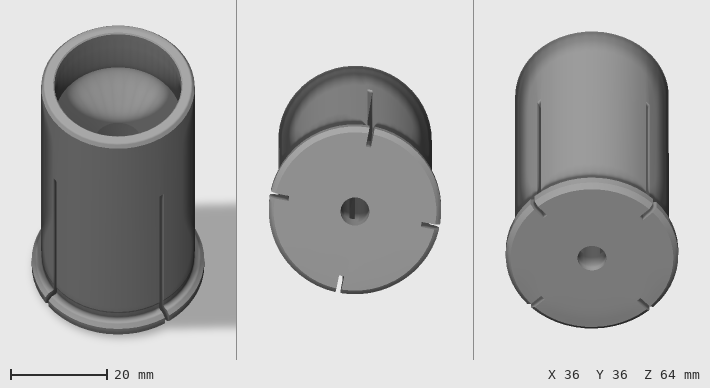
import cadquery as cq
import math

length = 64.0
body_radius = 32.0 / 2
flange_radius = 36.0 / 2
top_chamfer_width = 0.65
top_chamfer_height = 0.9

chamfer_rounding = 0.5

flange_height = 3.85
flange_bottom_chamfer = 1.0
flange_top_chamfer_width = 0.9
flange_top_chamfer_height = 0.9
neck_radius = body_radius - 0.1
neck_fillet = 0.45
neck_taper_start = 5.6
neck_top = 6.2

bore_radius = 6.0 / 2
countersink_radius = 10.0 / 2
cup_radius = 26.5 / 2
cup_lip_chamfer = 0.25
cup_depth = 11.8
cup_floor_angle = 45.0
countersink_wall_angle = 60.0
cup_edge_z = length - cup_depth
cup_floor_drop = (cup_radius - countersink_radius) * math.tan(math.radians(cup_floor_angle))
countersink_drop = (countersink_radius - bore_radius) * math.tan(math.radians(countersink_wall_angle))
countersink_top_z = cup_edge_z - cup_floor_drop
countersink_bottom_z = countersink_top_z - countersink_drop

slot_count = 4
slot_width = 1.1
slot_top_z = 43.1
sealed_height = 5.6
sealed_radius = 14.1
slot_reach = flange_radius + 0.65


def make_sleeve():
    """Revolve the half section of the flange, body, cup and bore."""
    profile = (
        cq.Workplane("XZ")
        .moveTo(bore_radius, 0)
        .lineTo(flange_radius - flange_bottom_chamfer, 0)
        .lineTo(flange_radius, flange_bottom_chamfer)
        .lineTo(flange_radius, flange_height - flange_top_chamfer_height)
        .lineTo(flange_radius - flange_top_chamfer_width, flange_height)
        .lineTo(neck_radius + neck_fillet, flange_height)
        .radiusArc((neck_radius, flange_height + neck_fillet), neck_fillet)
        .lineTo(neck_radius, neck_taper_start)
        .lineTo(body_radius, neck_top)
        .lineTo(body_radius, length - top_chamfer_height)
        .lineTo(body_radius - top_chamfer_width, length)
        .lineTo(cup_radius + cup_lip_chamfer, length)
        .lineTo(cup_radius, length - cup_lip_chamfer)
        .lineTo(cup_radius, cup_edge_z)
        .lineTo(countersink_radius, countersink_top_z)
        .lineTo(bore_radius, countersink_bottom_z)
        .close()
    )
    return profile.revolve(360, (0, 0, 0), (0, 1, 0))


def round_circle(body, radius, height):
    """Round the circular edge of the given radius at the given height."""
    tolerance = 0.005

    def is_wanted(edge):
        if edge.geomType() != "CIRCLE":
            return False
        same_radius = abs(edge.radius() - radius) < tolerance
        same_height = abs(edge.Center().z - height) < tolerance
        return same_radius and same_height

    return body.newObject([e for e in body.edges().vals() if is_wanted(e)]).fillet(chamfer_rounding)


def make_slot():
    """Make the cutter for one slot along +X, with a 45 degree run-out down to the bore."""
    return (
        cq.Workplane("XZ")
        .moveTo(0, sealed_height)
        .lineTo(sealed_radius, sealed_height)
        .lineTo(sealed_radius, 0)
        .lineTo(slot_reach, 0)
        .lineTo(slot_reach, slot_top_z + slot_reach - body_radius)
        .lineTo(0, slot_top_z - body_radius)
        .close()
        .extrude(slot_width / 2, both=True)
    )


result = make_sleeve()
result = round_circle(result, body_radius - top_chamfer_width, length)
result = round_circle(result, flange_radius - flange_top_chamfer_width, flange_height)
for index in range(slot_count):
    slot_angle = index * 360 / slot_count
    result = result.cut(make_slot().rotate((0, 0, 0), (0, 0, 1), slot_angle))